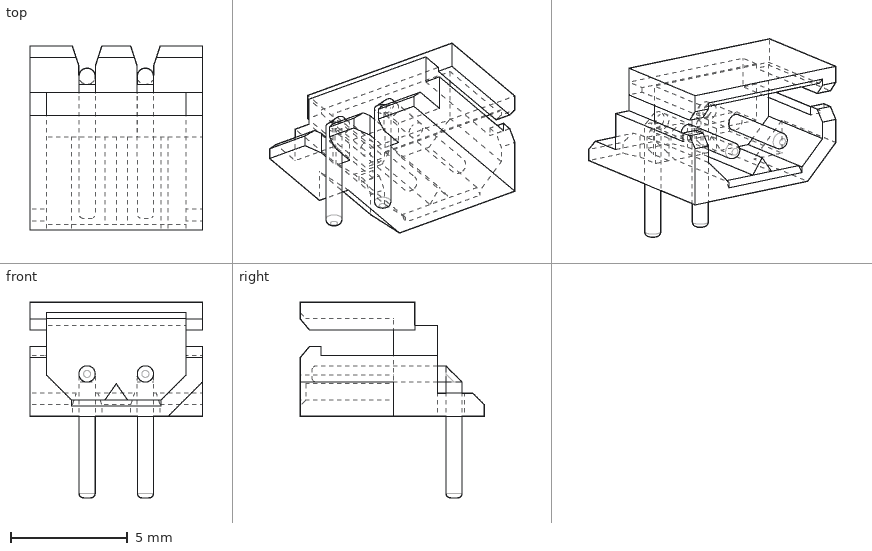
import cadquery as cq
import math


pitch = 2.5
pin_count = 2
side_margin = 2.45
side_wall = 0.7
overall_depth = 7.9
block_back = 5.9
cavity_depth = 4.0

housing_top = 4.9
lid_bottom = 3.7
lid_back = 4.92
back_block_top = 3.9
side_wall_top = 2.62
post_top = 3.0
post_length = 0.9
mouth_chamfer_depth = 0.4
mouth_chamfer_height = 0.48

floor_z = 0.7
floor_half_width = 1.92
roof_z = 4.2
lip_chamfer = 0.25
rib_half_width = 0.49
rib_top = 1.4

corner_chamfer = 1.48
flange_height = 1.0
flange_chamfer = 0.5
slot_flare_start = 7.05
slot_mouth_width = 1.26

pin_diameter = 0.7
pin_z = 1.82
pin_front = 0.5
pin_leg_y = 6.6
pin_bottom = -3.5
pin_tip_round = 0.2

pin_span = pitch * (pin_count - 1)
pin_xs = [i * pitch - pin_span / 2 for i in range(pin_count)]
housing_width = pin_span + 2 * side_margin
half_width = housing_width / 2
cavity_half_width = half_width - side_wall
wall_slope_top = floor_z + cavity_half_width - floor_half_width
pin_radius = pin_diameter / 2


def extrude_across(points, width):
    """Extrude a (Y, Z) outline along X, centred on X = 0."""
    return cq.Workplane("YZ").polyline(points).close().extrude(width / 2, both=True)


def extrude_back(points, y_start, y_end):
    """Extrude an (X, Z) outline along Y from y_start to y_end."""
    plane = cq.Workplane("XZ", origin=(0, y_start, 0))
    return plane.polyline(points).close().extrude(y_start - y_end)


def make_shell():
    """Floor, side walls and tail flange, the back block, and the lid."""
    base = extrude_across(
        [
            (0, 0),
            (overall_depth, 0),
            (overall_depth, flange_height - flange_chamfer),
            (overall_depth - flange_chamfer, flange_height),
            (block_back, flange_height),
            (block_back, side_wall_top),
            (post_length, side_wall_top),
            (post_length, post_top),
            (mouth_chamfer_depth, post_top),
            (0, post_top - mouth_chamfer_height),
        ],
        housing_width,
    )
    back_block = extrude_across(
        [
            (cavity_depth, floor_z),
            (block_back, floor_z),
            (block_back, back_block_top),
            (cavity_depth, back_block_top),
        ],
        2 * cavity_half_width,
    )
    lid = extrude_across(
        [
            (mouth_chamfer_depth, lid_bottom),
            (lid_back, lid_bottom),
            (lid_back, housing_top),
            (0, housing_top),
            (0, lid_bottom + mouth_chamfer_height),
        ],
        housing_width,
    )
    return base.union(back_block).union(lid)


def make_cavity():
    """Mating cavity with sloped lower walls."""
    return extrude_back(
        [
            (-floor_half_width, floor_z),
            (floor_half_width, floor_z),
            (cavity_half_width, wall_slope_top),
            (cavity_half_width, roof_z),
            (-cavity_half_width, roof_z),
            (-cavity_half_width, wall_slope_top),
        ],
        0,
        cavity_depth,
    )


def make_floor_bevel():
    """Wedge that bevels the front edge of the cavity floor."""
    return extrude_across(
        [(0, floor_z - lip_chamfer), (lip_chamfer, floor_z), (0, floor_z)],
        2 * floor_half_width,
    )


def make_roof_bevel():
    """Wedge that bevels the front edge of the cavity roof."""
    return extrude_across(
        [(0, roof_z), (lip_chamfer, roof_z), (0, roof_z + lip_chamfer)],
        2 * cavity_half_width,
    )


def make_key_rib():
    """Triangular rib along the middle of the cavity floor."""
    return extrude_back(
        [(-rib_half_width, floor_z), (rib_half_width, floor_z), (0, rib_top)],
        lip_chamfer,
        cavity_depth,
    )


def make_corner_cut():
    """Wedge that bevels the lower +X edge along the length of the cavity."""
    return extrude_back(
        [
            (half_width - corner_chamfer, 0),
            (half_width, 0),
            (half_width, corner_chamfer),
        ],
        0,
        cavity_depth,
    )


def make_leg_slot(x):
    """Slot through the tail flange for a pin leg, flared at the rear edge."""
    mouth = slot_mouth_width / 2
    return (
        cq.Workplane("XY")
        .polyline(
            [
                (x - pin_radius, block_back),
                (x + pin_radius, block_back),
                (x + pin_radius, slot_flare_start),
                (x + mouth, overall_depth),
                (x - mouth, overall_depth),
                (x - pin_radius, slot_flare_start),
            ]
        )
        .close()
        .extrude(flange_height)
    )


def make_pin(x):
    """Right-angle pin: contact, bevelled elbow and leg, with rounded tips."""
    bend_y = pin_leg_y - pin_radius
    bend_z = pin_z - pin_radius
    contact = (
        cq.Workplane("XZ", origin=(x, pin_front, pin_z))
        .circle(pin_radius)
        .extrude(pin_front - bend_y)
        .faces("<Y")
        .edges()
        .fillet(pin_tip_round)
    )
    leg = (
        cq.Workplane("XY", origin=(x, pin_leg_y, pin_bottom))
        .circle(pin_radius)
        .extrude(bend_z - pin_bottom)
        .faces("<Z")
        .edges()
        .fillet(pin_tip_round)
    )
    slant = cq.Plane(
        origin=(x, bend_y - pin_radius, pin_z + pin_radius),
        xDir=(1, 0, 0),
        normal=(0, 1, -1),
    )
    oblique = cq.Workplane(slant).ellipse(pin_radius, pin_radius / math.sqrt(2)).extrude(2 * pin_diameter)
    corner = cq.Workplane("XY", origin=(x, bend_y, bend_z)).box(
        pin_diameter, pin_diameter, pin_diameter, centered=(True, False, False)
    )
    elbow = oblique.intersect(corner)
    return contact.union(elbow).union(leg)


def make_housing(pins):
    """Complete housing with a matching hole for every pin."""
    housing = make_shell().cut(make_cavity()).cut(make_floor_bevel()).cut(make_roof_bevel())
    housing = housing.union(make_key_rib()).cut(make_corner_cut())
    for x in pin_xs:
        housing = housing.cut(make_leg_slot(x))
    for pin in pins:
        housing = housing.cut(pin)
    return housing


pins = [make_pin(x) for x in pin_xs]
housing = make_housing(pins)
result = cq.Compound.makeCompound([housing.solids().val(), *[pin.solids().val() for pin in pins]])